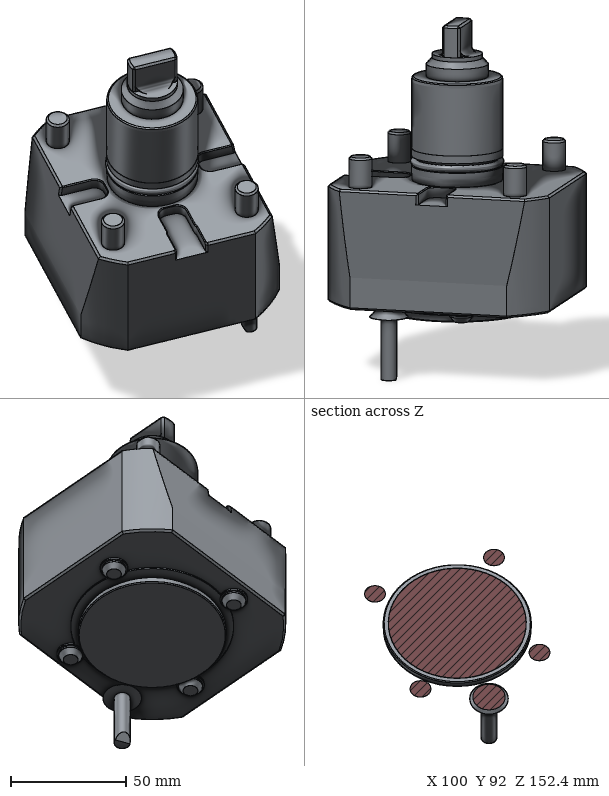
import cadquery as cq
import math

overall_height = 152.4

body_length = 100.0
body_width = 92.0
body_height = 51.8
corner_radius = 58.0
bend_height = 14.2
top_half_width = 40.1
body_chamfer = 0.9
root_height = body_height / 2

slot_depth = 4.9
slot_width = 12.5
slot_start = 21.6
slot_corner_radius = 4.5
slot_rim_chamfer = 0.5
slot_mouth_chamfer = 0.9
wide_slot_width = 13.4
wide_slot_start = 36.1
wide_slot_taper_length = 1.8

pin_diameter = 10.0
pin_top = 65.2
pin_chamfer = 0.9
pin_spacing_x = 70.0
pin_spacing_y = 61.9

neck_diameter = 39.5
neck_top = 53.3
sleeve_diameter = 39.8
land_diameter = 40.0
land_top = 65.2
sleeve_bottom = 54.7
sleeve_shoulder = 95.1
sleeve_bevel_diameter = 39.3
sleeve_bevel_height = 96.5
sleeve_end_diameter = 38.1
sleeve_top = 97.0
groove_diameter = 35.2
groove_bottom = 57.6
groove_top = 61.9
o_ring_diameter = 40.5
o_ring_thickness = 3.0
o_ring_height = 59.3
countersink_diameter = 43.6
countersink_floor_diameter = 40.5
countersink_depth = 0.5

collar_diameter = 27.0
collar_top = 102.4
key_diameter = 22.0
key_base = 105.2
blade_base = 107.0
blade_top = 120.9
blade_width = 21.6
blade_thickness = 8.0
blade_chamfer = 0.9
blade_root_radius = 2.9
root_bottom_diameter = 17.0
root_top_diameter = 20.1

cover_flange_diameter = 70.9
cover_flange_depth = 0.8
cover_neck_diameter = 60.0
cover_neck_depth = 2.6
cover_diameter = 64.5
cover_bottom = -6.0
cover_chamfer = 0.5

screw_circle_radius = 39.2
screw_angle = 18.5
screw_count = 4
washer_diameter = 12.0
washer_depth = 0.9
screw_head_diameter = 10.5
screw_rim_depth = 1.8
screw_dome_depth = 4.3
screw_end_diameter = 6.4

lead_diameter = 7.0
lead_x = 20.3
lead_y = 37.3
lead_bottom = blade_top - overall_height
grommet_diameter = 16.8
grommet_depth = 3.8
lead_cut_direction = 245
lead_cut_offset = 0.6
lead_cut_height = 3.4


def cylinder(diameter, bottom, top):
    return cq.Workplane("XY").workplane(offset=bottom).circle(diameter / 2).extrude(top - bottom)


def revolve_profile(points):
    """Turn a closed (radius, height) outline about the Z axis."""
    return cq.Workplane("XZ").polyline(points).close().revolve(360, (0, 0, 0), (0, 1, 0))


def make_body():
    half_width = body_width / 2
    section = [
        (-half_width, 0),
        (half_width, 0),
        (half_width, bend_height),
        (top_half_width, body_height),
        (-top_half_width, body_height),
        (-half_width, bend_height),
    ]
    prism = cq.Workplane("YZ").polyline(section).close().extrude(body_length / 2, both=True)
    rounded = prism.intersect(cylinder(2 * corner_radius, 0, body_height))
    return rounded.faces("<Z or >Z").chamfer(body_chamfer)


def extrude_slot(outline):
    """Cut volume of a slot: straight walls with a bevelled rim at the top face."""
    floor = body_height - slot_depth
    straight = outline(cq.Workplane("XY").workplane(offset=floor)).extrude(slot_depth)
    rim_plane = cq.Workplane("XY").workplane(offset=body_height - slot_rim_chamfer)
    rim = outline(rim_plane).extrude(slot_rim_chamfer, taper=-45)
    return straight.union(rim)


def slot_outline(plane):
    """Constant-width slot along +X with a round-cornered inner end."""
    half = slot_width / 2
    inner_flat = half - slot_corner_radius
    corner_end = slot_start + slot_corner_radius
    return (
        plane.moveTo(body_length, -half)
        .lineTo(body_length, half)
        .lineTo(corner_end, half)
        .radiusArc((slot_start, inner_flat), -slot_corner_radius)
        .lineTo(slot_start, -inner_flat)
        .radiusArc((corner_end, -half), -slot_corner_radius)
        .close()
    )


def widening_outline(plane):
    """Outer stretch of the +X slot, slightly wider than the rest."""
    half = slot_width / 2
    wide_half = wide_slot_width / 2
    wide_from = wide_slot_start + wide_slot_taper_length
    return plane.polyline([
        (wide_slot_start, -half),
        (wide_from, -wide_half),
        (body_length, -wide_half),
        (body_length, wide_half),
        (wide_from, wide_half),
        (wide_slot_start, half),
    ]).close()


def cut_slots(body):
    for angle in (0, 90, -90):
        tool = extrude_slot(slot_outline).rotate((0, 0, 0), (0, 0, 1), angle)
        body = body.cut(tool)
    body = body.cut(extrude_slot(widening_outline))
    floor = body_height - slot_depth
    half_width = body_width / 2
    mouth_boxes = [
        ((body_length / 2 - body_chamfer / 2, -slot_width, floor), (body_length, slot_width, body_height)),
        ((-slot_width, top_half_width, floor), (slot_width, half_width, body_height)),
        ((-slot_width, -half_width, floor), (slot_width, -top_half_width, body_height)),
    ]
    for low, high in mouth_boxes:
        mouth_edges = body.edges(cq.selectors.BoxSelector(low, high)).edges("not #Z")
        body = mouth_edges.chamfer(slot_mouth_chamfer)
    return body


def make_pins():
    pin = cylinder(pin_diameter, root_height, pin_top).faces(">Z").chamfer(pin_chamfer)
    pins = cq.Workplane("XY")
    for x in (-pin_spacing_x / 2, pin_spacing_x / 2):
        for y in (-pin_spacing_y / 2, pin_spacing_y / 2):
            pins = pins.add(pin.translate((x, y, 0)))
    return pins.combine()


def make_countersink():
    return revolve_profile([
        (0, body_height - countersink_depth),
        (countersink_floor_diameter / 2, body_height - countersink_depth),
        (countersink_diameter / 2, body_height),
        (0, body_height),
    ])


def make_spindle():
    """Neck, sleeve with O-ring groove, collar and key base, turned as one piece."""
    turned = revolve_profile([
        (0, root_height),
        (neck_diameter / 2, root_height),
        (neck_diameter / 2, neck_top),
        (land_diameter / 2, sleeve_bottom),
        (land_diameter / 2, groove_bottom),
        (groove_diameter / 2, groove_bottom),
        (groove_diameter / 2, groove_top),
        (land_diameter / 2, groove_top),
        (land_diameter / 2, land_top),
        (sleeve_diameter / 2, land_top),
        (sleeve_diameter / 2, sleeve_shoulder),
        (sleeve_bevel_diameter / 2, sleeve_bevel_height),
        (sleeve_end_diameter / 2, sleeve_top),
        (collar_diameter / 2, sleeve_top),
        (collar_diameter / 2, collar_top),
        (key_diameter / 2, key_base),
        (key_diameter / 2, blade_base),
        (0, blade_base),
    ])
    ring_center = (o_ring_diameter - o_ring_thickness) / 2
    ring = (
        cq.Workplane("XZ")
        .center(ring_center, o_ring_height)
        .circle(o_ring_thickness / 2)
        .revolve(360, (-ring_center, 0, 0), (-ring_center, 1, 0))
    )
    return turned.union(ring)


def make_blade():
    """Flat key with bevelled edges and a hollow fillet at the root of each flat."""
    slab = cq.Workplane("XY").box(blade_thickness, blade_width, 2 * blade_top)
    blade = cylinder(blade_width, key_base, blade_top).intersect(slab)
    blade = blade.edges("|Z or >Z").chamfer(blade_chamfer)

    half = blade_thickness / 2
    outer = half + blade_root_radius
    root = (
        cq.Workplane("XZ")
        .moveTo(-outer, blade_base)
        .lineTo(outer, blade_base)
        .radiusArc((half, blade_base + blade_root_radius), blade_root_radius)
        .lineTo(-half, blade_base + blade_root_radius)
        .radiusArc((-outer, blade_base), blade_root_radius)
        .close()
        .extrude(blade_width / 2, both=True)
    )
    root_limit = revolve_profile([
        (0, blade_base),
        (root_bottom_diameter / 2, blade_base),
        (root_top_diameter / 2, blade_base + blade_root_radius),
        (0, blade_base + blade_root_radius),
    ])
    return blade.union(root.intersect(root_limit))


def make_cover():
    flange = cylinder(cover_flange_diameter, -cover_flange_depth, 0)
    neck = cylinder(cover_neck_diameter, -cover_neck_depth, 0)
    disc = cylinder(cover_diameter, cover_bottom, -cover_neck_depth)
    return flange.union(neck).union(disc.faces("<Z or >Z").chamfer(cover_chamfer))


def make_screws():
    head = revolve_profile([
        (0, root_height),
        (washer_diameter / 2, root_height),
        (washer_diameter / 2, -washer_depth),
        (screw_head_diameter / 2, -washer_depth),
        (screw_head_diameter / 2, -screw_rim_depth),
        (screw_end_diameter / 2, -screw_dome_depth),
        (0, -screw_dome_depth),
    ])
    screws = cq.Workplane("XY")
    for index in range(screw_count):
        angle = math.radians(screw_angle + 360 / screw_count * index)
        x = screw_circle_radius * math.cos(angle)
        y = screw_circle_radius * math.sin(angle)
        screws = screws.add(head.translate((x, y, 0)))
    return screws.combine()


def make_lead():
    radius = lead_diameter / 2
    lead = cylinder(lead_diameter, lead_bottom, root_height)
    wedge = (
        cq.Workplane("XZ")
        .polyline([
            (lead_cut_offset, lead_bottom),
            (radius, lead_bottom),
            (radius, lead_bottom + lead_cut_height),
        ])
        .close()
        .extrude(radius, both=True)
        .rotate((0, 0, 0), (0, 0, 1), lead_cut_direction)
    )
    grommet = revolve_profile([
        (0, 0),
        (grommet_diameter / 2 - grommet_depth, 0),
        (grommet_diameter / 2, -grommet_depth),
        (0, -grommet_depth),
    ])
    return lead.cut(wedge).union(grommet).translate((lead_x, lead_y, 0))


body = cut_slots(make_body()).cut(make_countersink())
result = body
for piece in (make_pins(), make_spindle(), make_blade(), make_cover(), make_screws(), make_lead()):
    result = result.union(piece)